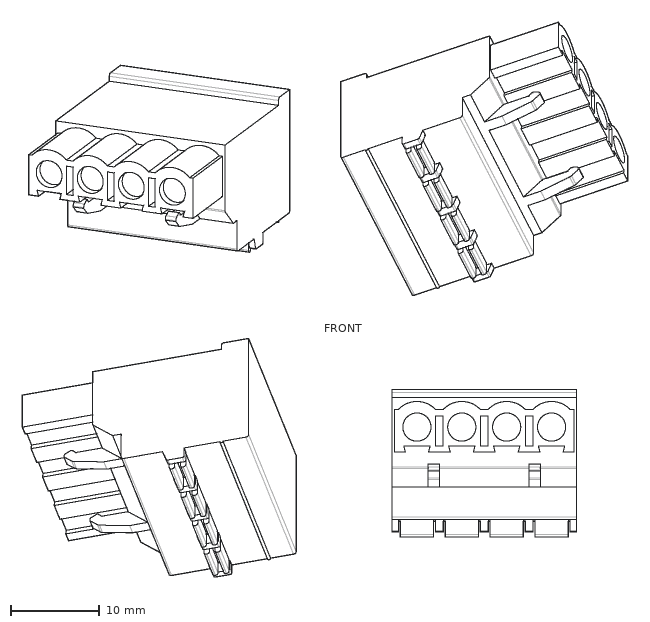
import cadquery as cq
import math

poles = 4
pitch = 5.08
pole_centers = [(i - (poles - 1) / 2) * pitch for i in range(poles)]
wall_centers = [(i - poles / 2) * pitch for i in range(poles + 1)]

width = 20.93
length = 26.6
height = 16.7
housing_front = 8.33
housing_top = 15.8
housing_bottom = 1.97
lip_depth = 3.2
edge_radius = 0.32
recess_top = 5.7
recess_front = 11.68
chamfer_start = 10.67
overhang_bottom = 7.82
overhang_radius = 0.27
bead_radius = 0.19

nose_width = 20.32
nose_shoulder = 14.42
nose_bottom = 9.6
bore_height = 12.45
bore_radius = 1.6
bore_depth = 1.06
barrel_radius = 2.9
slot_width = 0.82
slot_top = 13.7
groove_top = 10.3
groove_top_half = 1.5
groove_bottom_half = 1.3

latch_width = 1.3
latch_center = 5.7
latch_tip = 3.85
latch_tip_bottom = 7.47
latch_root_end = 8.55
latch_knee = (4.87, 6.57)
latch_peak = (4.8, 8.3)
latch_hook_back = 5.27
latch_peak_radius = 0.13
latch_tip_radius = 0.4
latch_knee_radius = 0.53

rib_width = 0.93
rib_bottom = 0.59
rib_back = 19.05
rib_front_top = 16.52
rib_front_bottom = 17.0
rib_radius = 0.2
contact_width = 3.8
contact_thickness = 0.65
contact_fronts = [17.05, 18.35]
contact_flat = 0.03
contact_radius = (contact_thickness - contact_flat) / 2
overlap = 0.53


def side_profile(points, x_min, x_max):
    """Extrude a closed (Y, Z) outline between two X positions."""
    sketch = cq.Workplane("YZ", origin=(x_min, 0, 0)).polyline(points).close()
    return sketch.extrude(x_max - x_min)


def edge_at(x, y, z):
    """Select the edge whose middle is nearest to a point."""
    return cq.selectors.NearestToPointSelector((x, y, z))


def box_between(x_range, y_range, z_range):
    """Box filling the given X, Y and Z intervals."""
    spans = [x_range, y_range, z_range]
    sizes = [high - low for low, high in spans]
    corner = tuple(low for low, high in spans)
    return cq.Workplane(origin=corner).box(*sizes, centered=False)


def make_housing():
    lip_front = length - lip_depth
    outline = [
        (length, housing_bottom),
        (length, height),
        (lip_front, height),
        (lip_front, housing_top),
        (housing_front, housing_top),
        (housing_front, overhang_bottom),
        (chamfer_start, recess_top),
        (recess_front, recess_top),
        (recess_front, housing_bottom),
    ]
    body = side_profile(outline, -width / 2, width / 2)
    for y, z in [(length, housing_bottom), (recess_front, housing_bottom), (lip_front, height)]:
        body = body.edges(edge_at(0, y, z)).fillet(edge_radius)
    body = body.edges(edge_at(0, housing_front, overhang_bottom)).fillet(overhang_radius)
    bead = cq.Workplane("YZ", origin=(-width / 2, 0, 0)).center(lip_front, housing_bottom)
    return body.union(bead.circle(bead_radius).extrude(width))


def nose_outline():
    """Nose section: a round barrel top and a dovetail groove below for every pole."""
    barrel_half = math.sqrt(barrel_radius**2 - (nose_shoulder - bore_height) ** 2)
    outline = cq.Workplane("XZ").moveTo(-nose_width / 2, nose_shoulder)
    for x in pole_centers:
        outline = outline.lineTo(x - barrel_half, nose_shoulder)
        outline = outline.threePointArc((x, bore_height + barrel_radius), (x + barrel_half, nose_shoulder))
    outline = outline.lineTo(nose_width / 2, nose_shoulder).lineTo(nose_width / 2, nose_bottom)
    for x in reversed(pole_centers):
        outline = outline.lineTo(x + groove_bottom_half, nose_bottom)
        outline = outline.lineTo(x + groove_top_half, groove_top)
        outline = outline.lineTo(x - groove_top_half, groove_top)
        outline = outline.lineTo(x - groove_bottom_half, nose_bottom)
    return outline.lineTo(-nose_width / 2, nose_bottom).close()


def make_nose():
    nose = nose_outline().extrude(-housing_front - overlap)
    centers = [(x, bore_height) for x in pole_centers]
    nose = nose.cut(cq.Workplane("XZ").pushPoints(centers).circle(bore_radius).extrude(-bore_depth))
    for x in wall_centers[1:-1]:
        slot_x = (x - slot_width / 2, x + slot_width / 2)
        nose = nose.cut(box_between(slot_x, (0, housing_front), (groove_top, slot_top)))
    return nose


def make_latch(x):
    x_min = x - latch_width / 2
    outline = [
        (housing_front + overlap, overhang_bottom),
        (latch_hook_back, overhang_bottom),
        latch_peak,
        (latch_tip, overhang_bottom),
        (latch_tip, latch_tip_bottom),
        latch_knee,
        (latch_root_end, recess_top),
        (chamfer_start + overlap, recess_top),
    ]
    arm = side_profile(outline, x_min, x_min + latch_width)
    rounded_corners = [
        (latch_peak, latch_peak_radius),
        ((latch_tip, overhang_bottom), latch_tip_radius),
        (latch_knee, latch_knee_radius),
    ]
    for (y, z), radius in rounded_corners:
        arm = arm.edges(edge_at(x, y, z)).fillet(radius)
    return arm


def make_rib(x):
    x_min = max(x - rib_width / 2, -width / 2)
    x_max = min(x + rib_width / 2, width / 2)
    outline = [
        (rib_back, housing_bottom + overlap),
        (rib_back, rib_bottom),
        (rib_front_bottom, rib_bottom),
        (rib_front_top, housing_bottom),
        (rib_front_top, housing_bottom + overlap),
    ]
    return side_profile(outline, x_min, x_max).faces("<Z").edges("|X").fillet(rib_radius)


def make_contact(x, y):
    x_range = (x - contact_width / 2, x + contact_width / 2)
    blade = box_between(x_range, (y, y + contact_thickness), (0, housing_bottom + overlap))
    return blade.faces("<Z").edges("|X").fillet(contact_radius)


result = make_housing().union(make_nose())
for x in (-latch_center, latch_center):
    result = result.union(make_latch(x))
for x in wall_centers:
    result = result.union(make_rib(x))
for x in pole_centers:
    for y in contact_fronts:
        result = result.union(make_contact(x, y))